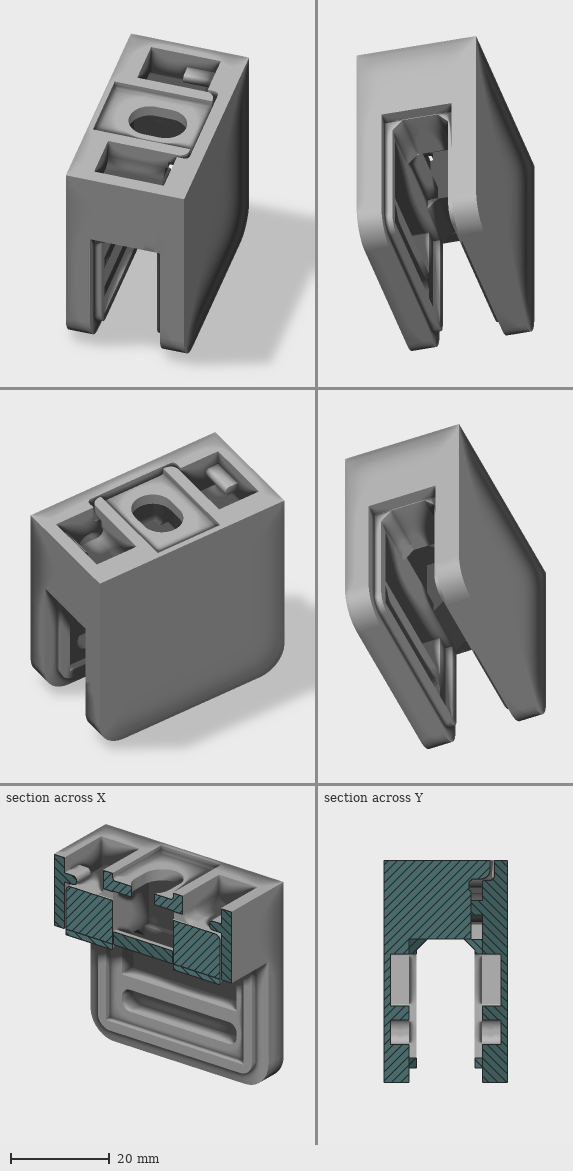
import cadquery as cq

WIDTH = 25.0
LENGTH = 45.0
HEIGHT = 45.0
JAW_THICKNESS = 5.15
JAW_CORNER_RADIUS = 6.0
HEAD_BOTTOM = 29.0
END_WALL = 2.75
OVERCUT = 1.0

JAW_INNER = WIDTH - JAW_THICKNESS
POCKET_HALF = LENGTH / 2 - END_WALL

PAD_THICKNESS = 1.5
PAD_INSET = 3.0
PAD_CORNER_RADIUS = JAW_CORNER_RADIUS - PAD_INSET
PAD_BORDER = 2.1
PAD_WINDOW_TOP = 26.0
PAD_LIP_REACH = 2.15
PAD_HALF = LENGTH / 2 - PAD_INSET

RECESS_HALF = 14.5
RECESS_DEPTH = 3.75
LOWER_RECESS_BOTTOM = 7.8
LOWER_RECESS_HEIGHT = 4.9
LOWER_RECESS_RADIUS = 2.0
UPPER_RECESS_BOTTOM = 15.6
UPPER_RECESS_RADIUS = 0.3

BLOCK_END = 17.7
BLOCK_TOP = 39.0
BLOCK_CLEARANCE = 0.15
BLOCK_HALF = POCKET_HALF - BLOCK_CLEARANCE
BLOCK_SIDE_RADIUS = 1.3
BLOCK_END_RADIUS = 0.5
NECK_END = BLOCK_END - BLOCK_END_RADIUS
NECK_HALF = 10.05
NECK_ROOT_RADIUS = 1.9
TIP_END = 21.7
TIP_THICKNESS = 4.05
TIP_BOTTOM = HEIGHT - TIP_THICKNESS
TIP_CORNER_RADIUS = 1.9
TIP_UNDER_RADIUS = 2.0
TIP_ROOT_RADIUS = 0.6
CHANNEL_HALF = 7.7
SEAT_START = 1.15
SEAT_HALF = 7.6
SEAT_DEPTH = 1.55
SEAT_RADIUS = 0.6
BOLT_SLOT_CENTER = 12.57
BOLT_SLOT_WIDTH = 8.7
BOLT_SLOT_LENGTH = 12.0

NOTCH_END = 22.3
NOTCH_RADIUS = 1.0
FLOOR_RADIUS_STEP = 0.02
TIP_NOTCH_HALF = 10.65
BOLT_NOTCH_HALF = 6.3
TONGUE_START = 16.06
TONGUE_CLEARANCE = 0.2
TONGUE_HALF = CHANNEL_HALF - TONGUE_CLEARANCE
TONGUE_TOP = 32.0
TONGUE_RADIUS = 0.55
BOSS_RADIUS = 2.9
BOSS_OFFSET = 11.5
BOSS_HEIGHT = 35.4
PEG_START = 12.8
PEG_BOTTOM = 39.5
PEG_WIDTH = 3.05
PEG_HEIGHT = 2.1


def block(x_min, x_max, y_min, y_max, z_min, z_max):
    """Box given by its limits."""
    size = (x_max - x_min, y_max - y_min, z_max - z_min)
    return cq.Workplane("XY").box(*size, centered=False).translate((x_min, y_min, z_min))


def centered_block(x_min, x_max, y_half, z_min, z_max):
    """Box that is symmetric about Y = 0."""
    return block(x_min, x_max, -y_half, y_half, z_min, z_max)


def mirror_x(body):
    """Mirror a body to the opposite side of the clamp."""
    return body.mirror("YZ").translate((WIDTH, 0, 0))


def jaw():
    """Jaw plate at X = 0 with rounded lower corners and recesses in its inner face."""
    plate = centered_block(0, JAW_THICKNESS, LENGTH / 2, 0, HEIGHT)
    plate = plate.edges("|X and <Z").fillet(JAW_CORNER_RADIUS)
    recess_floor = JAW_THICKNESS - RECESS_DEPTH
    lower_top = LOWER_RECESS_BOTTOM + LOWER_RECESS_HEIGHT
    lower = centered_block(recess_floor, JAW_THICKNESS, RECESS_HALF, LOWER_RECESS_BOTTOM, lower_top)
    upper = centered_block(recess_floor, JAW_THICKNESS, RECESS_HALF, UPPER_RECESS_BOTTOM, PAD_WINDOW_TOP)
    plate = plate.cut(lower.edges("|X").fillet(LOWER_RECESS_RADIUS))
    return plate.cut(upper.edges("|X").fillet(UPPER_RECESS_RADIUS))


def slider_tip():
    """Neck plate whose rounded end enters the notch of the housing."""
    tip = centered_block(JAW_THICKNESS, TIP_END, NECK_HALF, TIP_BOTTOM, HEIGHT)
    tip = tip.edges("|Z and >X").fillet(TIP_CORNER_RADIUS)
    return tip.faces("<Z").edges("not <X").fillet(TIP_UNDER_RADIUS)


def neck_root(side):
    """Concave fillet between the neck side and the block top."""
    profile = (
        cq.Workplane("YZ", origin=(JAW_THICKNESS, 0, 0))
        .moveTo(side * NECK_HALF, BLOCK_TOP)
        .lineTo(side * (NECK_HALF + NECK_ROOT_RADIUS), BLOCK_TOP)
        .radiusArc((side * NECK_HALF, BLOCK_TOP + NECK_ROOT_RADIUS), side * NECK_ROOT_RADIUS)
        .close()
    )
    return profile.extrude(NECK_END - JAW_THICKNESS)


def tip_root():
    """Concave fillet between the neck end and the underside of the tip."""
    profile = (
        cq.Workplane("XZ", origin=(0, NECK_HALF, 0))
        .moveTo(NECK_END, TIP_BOTTOM + TIP_UNDER_RADIUS)
        .lineTo(NECK_END, TIP_BOTTOM - TIP_ROOT_RADIUS)
        .radiusArc((NECK_END + TIP_ROOT_RADIUS, TIP_BOTTOM), TIP_ROOT_RADIUS)
        .lineTo(NECK_END + TIP_ROOT_RADIUS, TIP_BOTTOM + TIP_UNDER_RADIUS)
        .close()
    )
    return profile.extrude(2 * NECK_HALF)


def washer_seat():
    """Seat cutter with a rounded floor edge, open towards the tip end."""
    seat = centered_block(SEAT_START, TIP_END + OVERCUT, SEAT_HALF, HEIGHT - SEAT_DEPTH, HEIGHT + OVERCUT)
    return seat.edges("<Z").edges("not >X").fillet(SEAT_RADIUS)


def make_slider():
    """First jaw with the sliding block, the neck and its tip, and the bolt slot."""
    sliding_block = centered_block(JAW_THICKNESS, BLOCK_END, BLOCK_HALF, HEAD_BOTTOM, BLOCK_TOP)
    sliding_block = sliding_block.edges("|X and >Z").fillet(BLOCK_SIDE_RADIUS)
    sliding_block = sliding_block.edges("|Y and >X and >Z").fillet(BLOCK_END_RADIUS)
    neck = centered_block(JAW_THICKNESS, NECK_END, NECK_HALF, BLOCK_TOP - BLOCK_END_RADIUS, HEIGHT)
    channel = centered_block(JAW_THICKNESS, TIP_END, CHANNEL_HALF, HEAD_BOTTOM, TIP_BOTTOM)
    bolt_slot = (
        cq.Workplane("XY", origin=(BOLT_SLOT_CENTER, 0, TIP_BOTTOM))
        .slot2D(BOLT_SLOT_LENGTH, BOLT_SLOT_WIDTH)
        .extrude(TIP_THICKNESS)
    )
    slider = jaw().union(sliding_block).union(neck)
    for side in (-1, 1):
        slider = slider.union(neck_root(side))
    slider = slider.union(tip_root()).cut(channel).union(slider_tip())
    return slider.cut(washer_seat()).cut(bolt_slot)


def jaw_notch(half_width, bottom):
    """Cutter for a notch in the housing jaw, open at the top."""
    notch = centered_block(JAW_INNER - OVERCUT, NOTCH_END, half_width, bottom, HEIGHT + OVERCUT)
    notch = notch.edges("|Z and >X").fillet(NOTCH_RADIUS)
    return notch.faces("<Z").edges("not <X").fillet(NOTCH_RADIUS - FLOOR_RADIUS_STEP)


def tongue():
    """Tongue that slides in the bolt channel below the neck plate."""
    bar = centered_block(TONGUE_START, JAW_INNER, TONGUE_HALF, HEAD_BOTTOM, TONGUE_TOP)
    return bar.edges("|Y and <X and >Z").fillet(TONGUE_RADIUS)


def boss(side):
    """Round boss on the housing jaw, butting against the end of the sliding block."""
    start = cq.Workplane("YZ", origin=(BLOCK_END, side * BOSS_OFFSET, BOSS_HEIGHT))
    return start.circle(BOSS_RADIUS).extrude(JAW_INNER - BLOCK_END)


def peg(side):
    """Half-round peg on the end wall, just above the sliding block."""
    radius = PEG_HEIGHT / 2
    inner = POCKET_HALF - PEG_WIDTH
    profile = (
        cq.Workplane("YZ", origin=(PEG_START, 0, PEG_BOTTOM))
        .moveTo(side * POCKET_HALF, 0)
        .lineTo(side * (inner + radius), 0)
        .threePointArc((side * inner, radius), (side * (inner + radius), PEG_HEIGHT))
        .lineTo(side * POCKET_HALF, PEG_HEIGHT)
        .close()
    )
    return profile.extrude(JAW_INNER - PEG_START)


def end_wall(side):
    """Wall closing the head at one Y end."""
    wall = block(JAW_THICKNESS, JAW_INNER, POCKET_HALF, LENGTH / 2, HEAD_BOTTOM, HEIGHT)
    return wall if side > 0 else wall.mirror("XZ")


def make_housing():
    """Second jaw with the end walls, bosses, pegs, tongue and notches."""
    housing = mirror_x(jaw()).union(tongue())
    housing = housing.cut(jaw_notch(TIP_NOTCH_HALF, TIP_BOTTOM))
    housing = housing.cut(jaw_notch(BOLT_NOTCH_HALF, TONGUE_TOP))
    for side in (-1, 1):
        housing = housing.union(end_wall(side)).union(boss(side)).union(peg(side))
    return housing


def make_pad():
    """Framed pad on the inner face of the jaw at X = 0, with a lip under the head."""
    face = JAW_THICKNESS + PAD_THICKNESS
    pad = centered_block(JAW_THICKNESS, face, PAD_HALF, PAD_INSET, HEAD_BOTTOM)
    pad = pad.edges("|X and <Z").fillet(PAD_CORNER_RADIUS)
    lip = (
        cq.Workplane("XZ", origin=(0, PAD_HALF, 0))
        .moveTo(face, HEAD_BOTTOM)
        .lineTo(face + PAD_LIP_REACH, HEAD_BOTTOM)
        .lineTo(face, HEAD_BOTTOM - PAD_LIP_REACH)
        .close()
        .extrude(2 * PAD_HALF)
    )
    bolt_gap = centered_block(face, face + PAD_LIP_REACH, CHANNEL_HALF, PAD_WINDOW_TOP, HEAD_BOTTOM)
    window_half = PAD_HALF - PAD_BORDER
    window_bottom = PAD_INSET + PAD_BORDER
    window = centered_block(JAW_THICKNESS, face, window_half, window_bottom, PAD_WINDOW_TOP)
    return pad.union(lip).cut(bolt_gap).cut(window)


slider = make_slider()
housing = make_housing()
pads = [pad.val() for pad in (make_pad(), mirror_x(make_pad()))]

result = cq.Compound.makeCompound([slider.val(), housing.val(), *pads])